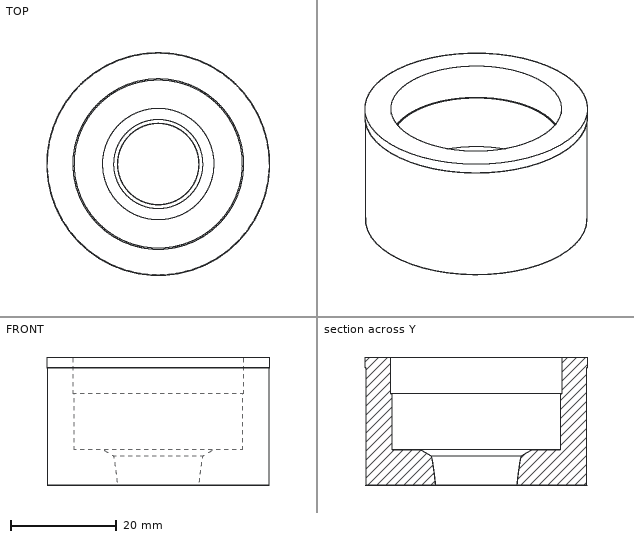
import cadquery as cq

height = 24.3
rim_radius = 21.15
rim_height = 1.9
body_radius = 21.02
rim_step = rim_radius - body_radius

upper_pocket_radius = 16.2
upper_pocket_depth = 6.85
lower_pocket_radius = 15.95
pocket_depth = 17.45

mouth_radius = 10.58
throat_radius = 8.45
exit_radius = 7.7
mouth_depth = 1.23

floor_z = height - pocket_depth
ledge_z = height - upper_pocket_depth
rim_z = height - rim_height

section = [
    (exit_radius, 0),
    (body_radius, 0),
    (body_radius, rim_z - rim_step),
    (rim_radius, rim_z),
    (rim_radius, height),
    (upper_pocket_radius, height),
    (upper_pocket_radius, ledge_z),
    (lower_pocket_radius, ledge_z),
    (lower_pocket_radius, floor_z),
    (mouth_radius, floor_z),
    (throat_radius, floor_z - mouth_depth),
]

result = (
    cq.Workplane("YZ")
    .polyline(section)
    .close()
    .revolve(360, (0, 0), (0, 1))
)